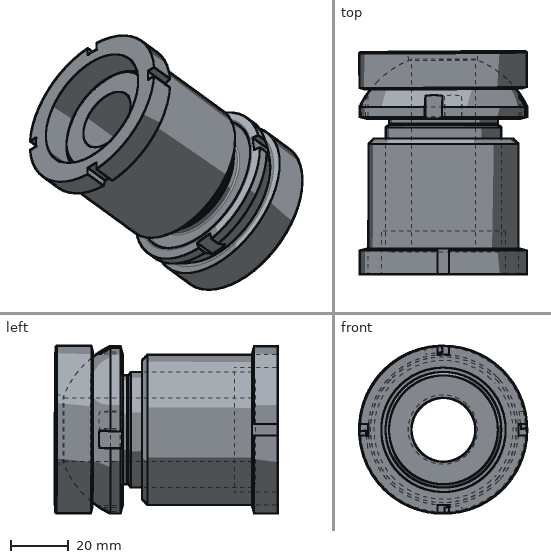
import cadquery as cq
import math


bevel_slope = math.tan(math.radians(15))

flange_radius = 29.0
flange_thickness = 9.0
bevel_width = 3.0
bevel_height = bevel_width * bevel_slope
sleeve_radius = flange_radius - bevel_width
sleeve_length = 47.0
sleeve_chamfer = 2.0
counterbore_radius = 21.5
counterbore_depth = 15.0
sleeve_slot_width = 4.0
sleeve_slot_depth = 3.0

thread_radius = 20.0
thread_start = 7.7
thread_end = 51.65
thread_chamfer = 1.2
neck_chamfer_length = 0.85
neck_radius = 18.9
neck_groove_length = 0.5
bore_radius = 11.0

collar_radius = 29.0
collar_start = 53.6
collar_cylinder_end = 57.8
recess_radius = 25.2
recess_depth = 1.0
recess_fillet = 0.55
sphere_radius = 32.0
sphere_centre = collar_cylinder_end - math.sqrt(sphere_radius**2 - collar_radius**2)
collar_slot_width = 6.0
collar_slot_depth = 2.3
collar_slot_turn = 7.0

cap_radius = 29.0
cap_start = 64.0
cap_end = 76.95
cap_chamfer = 0.5
cap_bevel_width = 2.2
cap_bevel_height = cap_bevel_width * bevel_slope
cap_bore_radius = 12.0
cap_tilt_about_z = 0.35
cap_tilt_about_x = 0.18

slot_count = 4


def sphere_axial(radius):
    """Axial position of the seating sphere at a given radius."""
    return sphere_centre + math.sqrt(sphere_radius**2 - radius**2)


def sphere_arc(outline, start_radius, end_radius):
    """Continue an outline along the seating sphere."""
    middle_radius = (start_radius + end_radius) / 2
    return outline.threePointArc(
        (middle_radius, sphere_axial(middle_radius)),
        (end_radius, sphere_axial(end_radius)),
    )


def turned(outline):
    """Revolve a closed (radius, Y) outline about the Y axis."""
    return outline.revolve(360, (0, 0, 0), (0, 1, 0))


def cut_rim_slots(body, rim_radius, width, depth, start, end, turn):
    """Cut evenly spaced flat-bottomed slots lengthwise into a rim."""
    blank_height = 2 * depth
    blank_centre = rim_radius - depth + blank_height / 2
    for index in range(slot_count):
        slot = (
            cq.Workplane("XY")
            .box(width, end - start, blank_height)
            .translate((0, (start + end) / 2, blank_centre))
            .rotate((0, 0, 0), (0, 1, 0), index * 360 / slot_count - turn)
        )
        body = body.cut(slot).solids()
    return body


def make_sleeve():
    outline = (
        cq.Workplane("XY")
        .moveTo(counterbore_radius, 0)
        .lineTo(flange_radius, 0)
        .lineTo(flange_radius, flange_thickness - bevel_height)
        .lineTo(sleeve_radius, flange_thickness)
        .lineTo(sleeve_radius, sleeve_length - sleeve_chamfer)
        .lineTo(sleeve_radius - sleeve_chamfer, sleeve_length)
        .lineTo(thread_radius, sleeve_length)
        .lineTo(thread_radius, counterbore_depth)
        .lineTo(counterbore_radius, counterbore_depth)
        .close()
    )
    return cut_rim_slots(
        turned(outline),
        flange_radius,
        sleeve_slot_width,
        sleeve_slot_depth,
        start=0,
        end=flange_thickness,
        turn=0,
    )


def make_spindle():
    chamfered_radius = thread_radius - thread_chamfer
    recess_floor = collar_start + recess_depth
    outline = (
        cq.Workplane("XY")
        .moveTo(bore_radius, thread_start)
        .lineTo(chamfered_radius, thread_start)
        .lineTo(thread_radius, thread_start + thread_chamfer)
        .lineTo(thread_radius, thread_end - neck_chamfer_length)
        .lineTo(chamfered_radius, thread_end)
        .lineTo(chamfered_radius, thread_end + neck_groove_length)
        .lineTo(neck_radius, thread_end + neck_groove_length)
        .lineTo(neck_radius, recess_floor - recess_fillet)
        .radiusArc((neck_radius + recess_fillet, recess_floor), recess_fillet)
        .lineTo(recess_radius - recess_fillet, recess_floor)
        .radiusArc((recess_radius, recess_floor - recess_fillet), recess_fillet)
        .lineTo(recess_radius, collar_start)
        .lineTo(collar_radius - bevel_width, collar_start)
        .lineTo(collar_radius, collar_start + bevel_height)
        .lineTo(collar_radius, collar_cylinder_end)
    )
    outline = sphere_arc(outline, collar_radius, bore_radius).close()
    return cut_rim_slots(
        turned(outline),
        collar_radius,
        collar_slot_width,
        collar_slot_depth,
        start=collar_start,
        end=cap_start,
        turn=collar_slot_turn,
    )


def make_cap():
    seat_radius = math.sqrt(sphere_radius**2 - (cap_start - sphere_centre) ** 2)
    outline = (
        cq.Workplane("XY")
        .moveTo(seat_radius, cap_start)
        .lineTo(cap_radius - cap_bevel_width, cap_start)
        .lineTo(cap_radius, cap_start + cap_bevel_height)
        .lineTo(cap_radius, cap_end - cap_chamfer)
        .lineTo(cap_radius - cap_chamfer, cap_end)
        .lineTo(cap_bore_radius, cap_end)
        .lineTo(cap_bore_radius, sphere_axial(cap_bore_radius))
    )
    cap = turned(sphere_arc(outline, cap_bore_radius, seat_radius).close())
    pivot = cq.Vector(0, sphere_centre, 0)
    cap = cap.rotate(pivot, pivot + cq.Vector(0, 0, 1), cap_tilt_about_z)
    return cap.rotate(pivot, pivot + cq.Vector(1, 0, 0), cap_tilt_about_x)


sleeve = make_sleeve()
spindle = make_spindle()
cap = make_cap()

result = cq.Compound.makeCompound([sleeve.val(), spindle.val(), cap.val()])